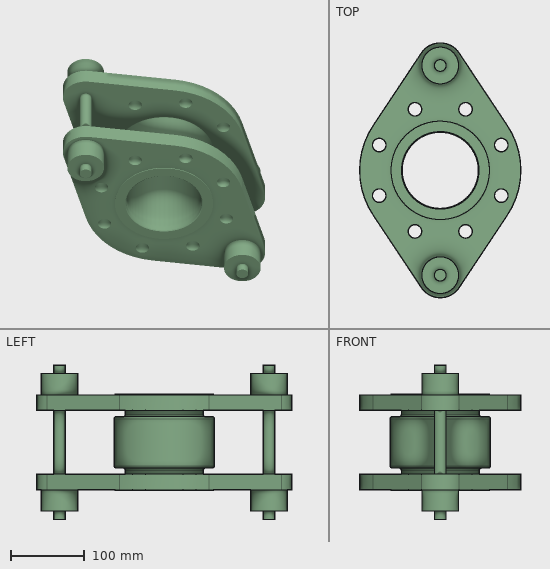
import cadquery as cq
import math

overall_length = 347.0
overall_width = 219.5
hub_radius = overall_width / 2
ear_radius = 31.0
ear_center_y = overall_length / 2 - ear_radius
plate_thickness = 21.0
plate_inner_z = 43.5
plate_outer_z = plate_inner_z + plate_thickness

bolt_count = 8
bolt_circle_radius = 90.0
bolt_hole_diameter = 18.0

bore_radius = 51.7
bore_chamfer = 1.0
neck_radius = 53.0
body_radius = 68.5
body_half_height = 35.0
shoulder_fillet = 3.0
raised_face_radius = 67.0
raised_face_height = 1.0
face_z = plate_outer_z + raised_face_height

rod_diameter = 16.0
rod_length = 210.0
boss_diameter = 50.0
boss_height = 29.0


def cylinder(diameter, bottom_z, height, y=0.0):
    """Upright cylinder with its axis at X = 0."""
    base = cq.Workplane("XY").workplane(offset=bottom_z).center(0, y)
    return base.circle(diameter / 2).extrude(height)


def make_plate(bottom_z):
    """Plate whose straight sides are tangent to the hub arcs and the ear arcs."""
    tangent_sin = (hub_radius - ear_radius) / ear_center_y
    tangent_cos = math.sqrt(1 - tangent_sin**2)
    hub_x = hub_radius * tangent_cos
    hub_y = hub_radius * tangent_sin
    ear_x = ear_radius * tangent_cos
    ear_y = ear_center_y + ear_radius * tangent_sin
    end_y = overall_length / 2
    return (
        cq.Workplane("XY")
        .workplane(offset=bottom_z)
        .moveTo(hub_x, -hub_y)
        .threePointArc((hub_radius, 0), (hub_x, hub_y))
        .lineTo(ear_x, ear_y)
        .threePointArc((0, end_y), (-ear_x, ear_y))
        .lineTo(-hub_x, hub_y)
        .threePointArc((-hub_radius, 0), (-hub_x, -hub_y))
        .lineTo(-ear_x, -ear_y)
        .threePointArc((0, -end_y), (ear_x, -ear_y))
        .close()
        .extrude(plate_thickness)
    )


def make_bolt_holes():
    """Through holes for both plates, straddling the X and Y axes."""
    pitch_angle = 360 / bolt_count
    return (
        cq.Workplane("XY")
        .workplane(offset=-plate_outer_z)
        .polarArray(bolt_circle_radius, pitch_angle / 2, 360, bolt_count)
        .circle(bolt_hole_diameter / 2)
        .extrude(2 * plate_outer_z)
    )


def make_sleeve():
    """Body with rounded rims, filleted necks and raised faces, still without its bore."""
    body = cylinder(2 * body_radius, -body_half_height, 2 * body_half_height)
    neck = cylinder(2 * neck_radius, -plate_outer_z, 2 * plate_outer_z)
    sleeve = body.union(neck)
    for shoulder in (">Z[-3]", "<Z[-3]"):
        sleeve = sleeve.faces(shoulder).edges().fillet(shoulder_fillet)
    for face_bottom_z in (plate_outer_z, -plate_outer_z - raised_face_height):
        sleeve = sleeve.union(cylinder(2 * raised_face_radius, face_bottom_z, raised_face_height))
    return sleeve


def make_bore():
    """Straight bore with a chamfer at both mouths."""
    mouth_radius = bore_radius + bore_chamfer
    return (
        cq.Workplane("XZ")
        .moveTo(0, -face_z)
        .lineTo(mouth_radius, -face_z)
        .lineTo(bore_radius, -face_z + bore_chamfer)
        .lineTo(bore_radius, face_z - bore_chamfer)
        .lineTo(mouth_radius, face_z)
        .lineTo(0, face_z)
        .close()
        .revolve(360, (0, 0, 0), (0, 1, 0))
    )


def make_tie_rod(y):
    """Rod through both plates with a boss on the outer side of each plate."""
    rod = cylinder(rod_diameter, -rod_length / 2, rod_length, y)
    upper_boss = cylinder(boss_diameter, plate_outer_z, boss_height, y)
    lower_boss = cylinder(boss_diameter, -plate_outer_z - boss_height, boss_height, y)
    return rod.union(upper_boss).union(lower_boss)


plates = make_plate(plate_inner_z).union(make_plate(-plate_outer_z))

result = plates.cut(make_bolt_holes()).union(make_sleeve()).cut(make_bore())
for rod_y in (-ear_center_y, ear_center_y):
    result = result.union(make_tie_rod(rod_y))